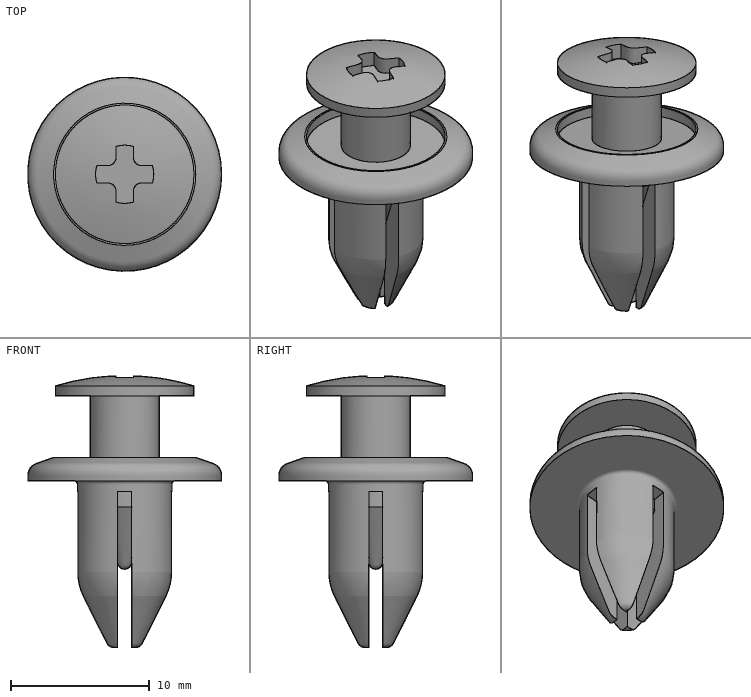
import cadquery as cq
import math


TAPER_ANGLE = math.radians(26.0)
TAPER_SIN = math.sin(TAPER_ANGLE)
TAPER_COS = math.cos(TAPER_ANGLE)
TAPER_TAN = math.tan(TAPER_ANGLE)

PIN_RADIUS = 2.5
PIN_POINT_RADIUS = 0.5
PIN_TAPER_START_Z = 10.13
HEAD_RADIUS = 5.0
HEAD_BOTTOM_Z = 18.15
HEAD_RIM_HEIGHT = 0.73
HEAD_DOME_HEIGHT = 0.745

CROSS_RADIUS = 2.1
CROSS_ARM_WIDTH = 1.25
CROSS_INNER_FILLET = 0.6
CROSS_FLOOR_Z = 18.4

FLANGE_RADIUS = 7.0
FLANGE_BOTTOM_Z = 12.03
FLANGE_EDGE_HEIGHT = 0.36
FLANGE_EDGE_ROUND = 0.95
FLANGE_TOP_Z = 13.72
FLANGE_LIP_RADIUS = 5.13
HEAD_SEAT_DEPTH = HEAD_RIM_HEIGHT

SHANK_RADIUS = 3.42
SHANK_ROOT_FILLET = 0.27
SHANK_STRAIGHT_END_Z = 5.42
SHANK_SHOULDER_ROUND = 3.9
FINGER_TIP_ROUND = 0.5
SLOT_WIDTH = 1.0
SLOT_TOP_Z = 11.26

QUARTER_ROUND_MID = math.sqrt(0.5)


def revolve_profile(profile):
    """Turn a closed (radius, height) outline once about the Z axis."""
    return profile.close().revolve(360, (0, 0, 0), (0, 1, 0))


def pin_blank():
    """Domed head, straight stem and tapered stem end with a ball point."""
    rim_top_z = HEAD_BOTTOM_Z + HEAD_RIM_HEIGHT
    apex_z = rim_top_z + HEAD_DOME_HEIGHT
    dome_radius = (HEAD_RADIUS**2 + HEAD_DOME_HEIGHT**2) / (2 * HEAD_DOME_HEIGHT)
    dome_mid_r = HEAD_RADIUS / 2
    dome_mid_z = apex_z - dome_radius + math.sqrt(dome_radius**2 - dome_mid_r**2)

    blend_r = PIN_POINT_RADIUS * TAPER_COS
    blend_z = PIN_TAPER_START_Z - (PIN_RADIUS - blend_r) / TAPER_TAN
    ball_center_z = blend_z + PIN_POINT_RADIUS * TAPER_SIN
    ball_mid_angle = (math.pi / 2 + TAPER_ANGLE) / 2
    ball_mid = (
        PIN_POINT_RADIUS * math.cos(ball_mid_angle),
        ball_center_z - PIN_POINT_RADIUS * math.sin(ball_mid_angle),
    )

    profile = (
        cq.Workplane("XZ")
        .moveTo(0, ball_center_z - PIN_POINT_RADIUS)
        .threePointArc(ball_mid, (blend_r, blend_z))
        .lineTo(PIN_RADIUS, PIN_TAPER_START_Z)
        .lineTo(PIN_RADIUS, HEAD_BOTTOM_Z)
        .lineTo(HEAD_RADIUS, HEAD_BOTTOM_Z)
        .lineTo(HEAD_RADIUS, rim_top_z)
        .threePointArc((dome_mid_r, dome_mid_z), (0, apex_z))
    )
    return revolve_profile(profile)


def cross_recess():
    """Cross with round arm ends and filleted inner corners, open at the top."""
    height = HEAD_BOTTOM_Z + HEAD_RIM_HEIGHT + HEAD_DOME_HEIGHT - CROSS_FLOOR_Z
    base = cq.Workplane("XY").workplane(offset=CROSS_FLOOR_Z)
    arm_length = 3 * CROSS_RADIUS
    cross = base.rect(arm_length, CROSS_ARM_WIDTH).extrude(height)
    cross = cross.union(base.rect(CROSS_ARM_WIDTH, arm_length).extrude(height))
    inner_corners = cq.selectors.BoxSelector(
        (-CROSS_ARM_WIDTH, -CROSS_ARM_WIDTH, CROSS_FLOOR_Z),
        (CROSS_ARM_WIDTH, CROSS_ARM_WIDTH, CROSS_FLOOR_Z + height),
    )
    cross = cross.edges("|Z").edges(inner_corners).fillet(CROSS_INNER_FILLET)
    return cross.intersect(base.circle(CROSS_RADIUS).extrude(height))


def housing_blank():
    """Flange and tapered shank, solid inside except for the head seat."""
    seat_z = FLANGE_TOP_Z - HEAD_SEAT_DEPTH

    shoulder_r = SHANK_RADIUS - SHANK_SHOULDER_ROUND * (1 - TAPER_COS)
    shoulder_z = SHANK_STRAIGHT_END_Z - SHANK_SHOULDER_ROUND * TAPER_SIN
    tip_z = FINGER_TIP_ROUND * (1 - TAPER_SIN)
    tip_r = shoulder_r - (shoulder_z - tip_z) * TAPER_TAN
    tip_center_r = tip_r - FINGER_TIP_ROUND * TAPER_COS
    tip_mid_angle = (math.pi / 2 + TAPER_ANGLE) / 2
    tip_mid = (
        tip_center_r + FINGER_TIP_ROUND * math.cos(tip_mid_angle),
        FINGER_TIP_ROUND * (1 - math.sin(tip_mid_angle)),
    )

    shoulder_center_r = SHANK_RADIUS - SHANK_SHOULDER_ROUND
    shoulder_mid = (
        shoulder_center_r + SHANK_SHOULDER_ROUND * math.cos(TAPER_ANGLE / 2),
        SHANK_STRAIGHT_END_Z - SHANK_SHOULDER_ROUND * math.sin(TAPER_ANGLE / 2),
    )

    root_r = SHANK_RADIUS + SHANK_ROOT_FILLET
    root_z = FLANGE_BOTTOM_Z - SHANK_ROOT_FILLET
    root_mid_offset = SHANK_ROOT_FILLET * QUARTER_ROUND_MID
    root_mid = (root_r - root_mid_offset, root_z + root_mid_offset)

    edge_z = FLANGE_BOTTOM_Z + FLANGE_EDGE_HEIGHT
    edge_center_r = FLANGE_RADIUS - FLANGE_EDGE_ROUND
    lip_dr = FLANGE_LIP_RADIUS - edge_center_r
    lip_dz = FLANGE_TOP_Z - edge_z
    lip_distance = math.hypot(lip_dr, lip_dz)
    edge_sweep = math.atan2(lip_dz, lip_dr) - math.acos(FLANGE_EDGE_ROUND / lip_distance)

    def edge_point(angle):
        return (
            edge_center_r + FLANGE_EDGE_ROUND * math.cos(angle),
            edge_z + FLANGE_EDGE_ROUND * math.sin(angle),
        )

    profile = (
        cq.Workplane("XZ")
        .lineTo(tip_center_r, 0)
        .threePointArc(tip_mid, (tip_r, tip_z))
        .lineTo(shoulder_r, shoulder_z)
        .threePointArc(shoulder_mid, (SHANK_RADIUS, SHANK_STRAIGHT_END_Z))
        .lineTo(SHANK_RADIUS, root_z)
        .threePointArc(root_mid, (root_r, FLANGE_BOTTOM_Z))
        .lineTo(FLANGE_RADIUS, FLANGE_BOTTOM_Z)
        .lineTo(FLANGE_RADIUS, edge_z)
        .threePointArc(edge_point(edge_sweep / 2), edge_point(edge_sweep))
        .lineTo(FLANGE_LIP_RADIUS, FLANGE_TOP_Z)
        .lineTo(HEAD_RADIUS, FLANGE_TOP_Z)
        .lineTo(HEAD_RADIUS, seat_z)
        .lineTo(0, seat_z)
    )
    return revolve_profile(profile)


def finger_slot(angle):
    """Slot across the whole shank, open at the finger tips."""
    slot = cq.Workplane("XY").rect(2 * FLANGE_RADIUS, SLOT_WIDTH).extrude(SLOT_TOP_Z)
    return slot.rotate((0, 0, 0), (0, 0, 1), angle)


stem = pin_blank()
pin = stem.cut(cross_recess())

housing = housing_blank().cut(stem)
for slot_angle in (0, 90):
    housing = housing.cut(finger_slot(slot_angle))

result = cq.Compound.makeCompound([housing.val(), pin.val()])